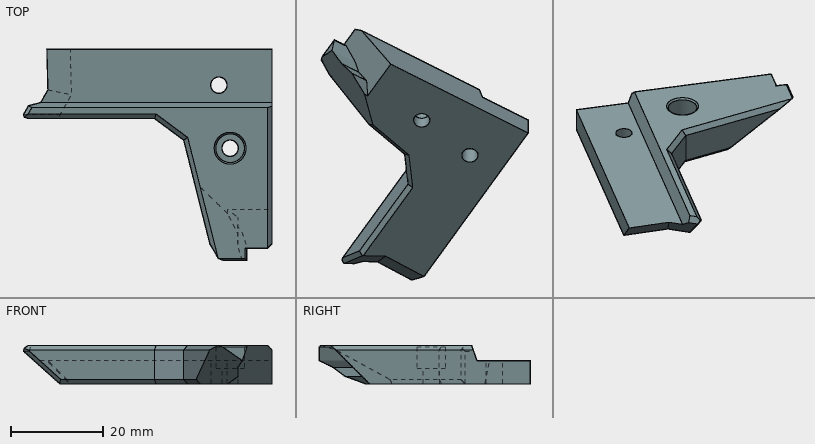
import cadquery as cq

LENGTH = 53.84
WIDTH = 45.76
HEIGHT = 8.4
EDGE_CHAMFER = 1.0
OVERRUN = 10.0
TOOL_SIZE = 300.0

ARM_FRONT_Y = 30.68
DIAGONAL_START_X = 28.4
DIAGONAL_END = (34.7, 26.0)
LEG_TIP_X = 41.25

FLANGE_HEIGHT = 5.1
STEP_FOOT_Y = 34.2
STEP_TOP_Y = 33.05

HOLE_DIAMETER = 3.5
FLANGE_HOLE = (42.32, 37.94)
LEG_HOLE = (44.76, 24.28)
COUNTERBORE_DIAMETER = 6.2
COUNTERBORE_DEPTH = 5.0
COUNTERBORE_CHAMFER = 0.35

FLANGE_END_RUN = 1.0
ARM_END_RUN = 1.12
ARM_END_SKEW = 0.57
FLANGE_END_X = 5.04
FLANGE_END_CORNER = (5.27, 36.7)
ARM_TIP = (0.0, 31.6, 7.1)
ARM_FRONT_FOOT_X = 8.07
TIP_FACET_TOP = (1.0, 31.65, HEIGHT)
TIP_FACET_RUN = 0.75

TIP_BEVEL_START = (43.4, 0.0, 7.86)
TIP_BEVEL_SLOPE_X = -0.695
TIP_BEVEL_SLOPE_Y = -0.72
TIP_CHAMFER_DEPTH = 0.4
NOTCH_BACK_Y = 2.56
NOTCH_BACK_RUN = 1.0
NOTCH_SIDE = [(44.2, 0.0), (46.5, 1.67), (46.4, 3.6), (47.4, 5.05), (48.4, 8.0), (48.0, HEIGHT)]


def half_space(point, outward):
    """Large block lying outside the plane through a point."""
    plane = cq.Plane(origin=point, normal=outward)
    return cq.Workplane(plane).rect(TOOL_SIZE, TOOL_SIZE).extrude(TOOL_SIZE)


def local_cut(point, outward, far_corner):
    """Half space kept to the part of the stock below far_corner in x and y."""
    x, y = far_corner
    zone = cq.Workplane("XY").box(TOOL_SIZE, TOOL_SIZE, TOOL_SIZE)
    zone = zone.translate((x - TOOL_SIZE / 2, y - TOOL_SIZE / 2, 0))
    return half_space(point, outward).intersect(zone)


def make_blank():
    """Full-height angle with its inner edges and right top edge chamfered."""
    taper = (LEG_TIP_X - DIAGONAL_END[0]) / DIAGONAL_END[1]
    outline = [
        (-OVERRUN, WIDTH),
        (-OVERRUN, ARM_FRONT_Y),
        (DIAGONAL_START_X, ARM_FRONT_Y),
        DIAGONAL_END,
        (LEG_TIP_X + taper * OVERRUN, -OVERRUN),
        (LENGTH, -OVERRUN),
        (LENGTH, WIDTH),
    ]
    blank = cq.Workplane("XY").polyline(outline).close().extrude(HEIGHT)
    inner_corners = outline[1:5]
    wall_middles = [
        ((start[0] + end[0]) / 2, (start[1] + end[1]) / 2)
        for start, end in zip(inner_corners, inner_corners[1:])
    ]
    edges = blank.edges(cq.selectors.NearestToPointSelector((LENGTH, WIDTH / 2, HEIGHT)))
    for x, y in wall_middles:
        for z in (0, HEIGHT):
            edges = edges.add(blank.edges(cq.selectors.NearestToPointSelector((x, y, z))))
    return edges.chamfer(EDGE_CHAMFER)


def flange_step():
    """Stock above the rear flange, bounded by the sloping step."""
    profile = [
        (WIDTH + OVERRUN, FLANGE_HEIGHT),
        (STEP_FOOT_Y, FLANGE_HEIGHT),
        (STEP_TOP_Y, HEIGHT),
        (WIDTH + OVERRUN, HEIGHT),
    ]
    step = cq.Workplane("YZ").polyline(profile).close()
    return step.extrude(TOOL_SIZE, both=True)


def arm_end():
    """Stock beyond both undercut faces at the left end of the arm."""
    corner_x, corner_y = FLANGE_END_CORNER
    flange_skew = (FLANGE_END_X - corner_x) / (WIDTH - corner_y)
    flange_side = half_space((FLANGE_END_X, WIDTH, FLANGE_HEIGHT), (-1, flange_skew, -FLANGE_END_RUN))
    arm_side = half_space(ARM_TIP, (-1, ARM_END_SKEW, -ARM_END_RUN))
    return flange_side.intersect(arm_side)


def arm_tip_top():
    """Facet blunting the top of the arm's end."""
    return local_cut(TIP_FACET_TOP, (-1, ARM_END_SKEW, TIP_FACET_RUN), (DIAGONAL_START_X, STEP_FOOT_Y))


def arm_tip_front():
    """Facet blunting the edge between the arm front and the undercut end."""
    upper = cq.Vector(EDGE_CHAMFER, ARM_FRONT_Y, HEIGHT - EDGE_CHAMFER)
    lower = cq.Vector(ARM_FRONT_FOOT_X, ARM_FRONT_Y, EDGE_CHAMFER)
    outward = (cq.Vector(ARM_TIP) - upper).cross(lower - upper)
    return local_cut(upper, outward, (DIAGONAL_START_X, STEP_TOP_Y))


def leg_end():
    """Stock beyond the upright end of the leg and its small top chamfer."""
    outward = (0, -1, 0)
    chamfer_outward = (0, -1, 1)
    upright = half_space((0, 0, 0), outward)
    return upright.union(half_space((0, 0, HEIGHT - TIP_CHAMFER_DEPTH), chamfer_outward))


def leg_bevel():
    """Sloping underside of the leg tip."""
    outward = (TIP_BEVEL_SLOPE_X, TIP_BEVEL_SLOPE_Y, -1)
    return local_cut(TIP_BEVEL_START, outward, (LENGTH, DIAGONAL_END[1]))


def leg_notch():
    """Undercut notch in the right corner of the leg tip."""
    right = LENGTH + OVERRUN
    profile = NOTCH_SIDE + [(right, HEIGHT), (right, 0)]
    prism = cq.Workplane("XZ").polyline(profile).close().extrude(TOOL_SIZE, both=True)
    return prism.intersect(half_space((LENGTH, NOTCH_BACK_Y, HEIGHT), (0, -1, -NOTCH_BACK_RUN)))


def drill(body):
    """Plain hole in the flange and counterbored hole in the leg."""
    holes = cq.Workplane("XY").pushPoints([FLANGE_HOLE, LEG_HOLE]).circle(HOLE_DIAMETER / 2).extrude(HEIGHT)
    bore = (
        cq.Workplane("XY", origin=(*LEG_HOLE, HEIGHT - COUNTERBORE_DEPTH))
        .circle(COUNTERBORE_DIAMETER / 2)
        .extrude(COUNTERBORE_DEPTH)
    )
    mouth = (
        cq.Workplane("XY", origin=(*LEG_HOLE, HEIGHT))
        .circle(COUNTERBORE_DIAMETER / 2 + COUNTERBORE_CHAMFER)
        .extrude(-COUNTERBORE_CHAMFER, taper=45)
    )
    return body.cut(holes).cut(bore).cut(mouth)


part = make_blank()
part = part.cut(flange_step())
part = part.cut(arm_end()).cut(arm_tip_top()).cut(arm_tip_front())
part = part.cut(leg_end()).cut(leg_bevel()).cut(leg_notch())
result = drill(part)